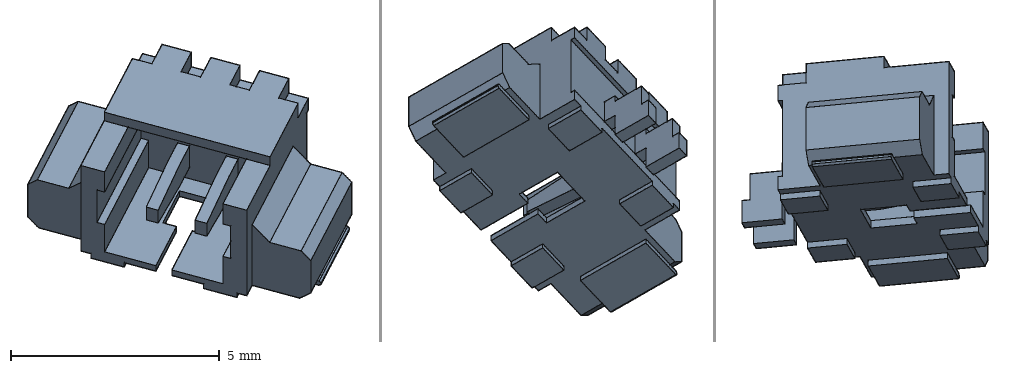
import cadquery as cq


overall_width = 7.25
overall_depth = 5.41
overall_height = 3.4
half_width = overall_width / 2

standoff = 0.15
shell_width = 4.25
shell_depth = 4.205
wall_top = 3.1
roof_front = 1.595
half_shell = shell_width / 2

cavity_width = 3.03
cavity_floor = 0.35
cavity_back = 3.0
key_groove_depth = 0.195
key_groove_bottom = 1.29
key_groove_top = 2.41

floor_slot_width = 0.405
floor_slot_end = 1.4
floor_window_width = 1.1
floor_window_end = 2.54

rear_recess_depth = 0.11
rear_recess_bottom = 0.5
rear_recess_top = 2.495
rear_notch_width = 0.5
rear_notch_depth = 0.695
rear_notch_bottom = 2.9

foot_width = 0.855
foot_center = 1.44
front_foot_length = 0.94
rear_foot_length = 0.97

wing_front = 0.37
wing_length = 2.8
wing_top = 1.8
wing_gusset = 0.45
wing_top_chamfer = 0.25
wing_bottom_chamfer = 0.28

contact_pitch = 1.25
contact_width = 0.305
contact_bottom = 0.725
contact_top = 1.47
contact_tip = 0.87
contact_taper_end = 2.35
contact_tip_setback = 0.15
contact_bend_front = 4.415
contact_step_drop = 0.2
contact_toe_length = 0.2
contact_toe_height = 0.59
contact_centers = [-contact_pitch / 2, contact_pitch / 2]

tab_width = 1.26
tab_front = 1.07
tab_length = 1.95
tab_edge_chamfer = 0.05


def block(x_range, y_range, z_range):
    """Box between the given (low, high) limits on each axis."""
    size = [high - low for low, high in (x_range, y_range, z_range)]
    corner = cq.Vector(x_range[0], y_range[0], z_range[0])
    return cq.Workplane(cq.Solid.makeBox(*size, corner))


def centered_block(width, y_range, z_range, center=0.0):
    """Box of the given width centred on X = center."""
    return block((center - width / 2, center + width / 2), y_range, z_range)


def front_profile(points, y_start, length):
    """Extrude an outline of (X, Z) points rearwards from y_start."""
    plane = cq.Workplane("XZ", origin=(0, y_start, 0))
    return plane.polyline(points).close().extrude(-length)


def mirrored(shape):
    """The same shape on the opposite X side."""
    return shape.mirror("YZ")


def make_shell():
    """Outer block, stepped down in front of the roof."""
    shell = centered_block(shell_width, (0, shell_depth), (standoff, overall_height))
    return shell.cut(centered_block(shell_width, (0, roof_front), (wall_top, overall_height)))


def make_cavity():
    """Mating cavity with a key groove along each side wall."""
    cavity = centered_block(cavity_width, (0, cavity_back), (cavity_floor, wall_top))
    grooves = centered_block(
        cavity_width + 2 * key_groove_depth,
        (0, cavity_back),
        (key_groove_bottom, key_groove_top),
    )
    return cavity.union(grooves)


def make_floor_opening():
    """Slot from the mating face that widens into a window below the contacts."""
    z_range = (standoff, cavity_floor)
    slot = centered_block(floor_slot_width, (0, floor_slot_end), z_range)
    window = centered_block(floor_window_width, (floor_slot_end, floor_window_end), z_range)
    return slot.union(window)


def make_rear_recess():
    """Shallow recess across the full rear face."""
    return centered_block(
        shell_width,
        (shell_depth - rear_recess_depth, shell_depth),
        (rear_recess_bottom, rear_recess_top),
    )


def cut_rear_notches(shell):
    """Notch the rear roof edge above each contact and at both corners."""
    corner_center = half_shell - rear_notch_width / 2
    for center in [-corner_center, *contact_centers, corner_center]:
        shell = shell.cut(centered_block(
            rear_notch_width,
            (shell_depth - rear_notch_depth, shell_depth),
            (rear_notch_bottom, overall_height),
            center,
        ))
    return shell


def make_wing():
    """Chamfered wing on the +X side, with a sloped gusset against the shell."""
    outline = [
        (half_shell, standoff),
        (half_width - wing_bottom_chamfer, standoff),
        (half_width, standoff + wing_bottom_chamfer),
        (half_width, wing_top - wing_top_chamfer),
        (half_width - wing_top_chamfer, wing_top),
        (half_shell + wing_gusset, wing_top),
        (half_shell, wing_top + wing_gusset),
    ]
    return front_profile(outline, wing_front, wing_length)


def add_feet(shell):
    """Four feet, flush with the front and rear faces."""
    for y_range in [(0, front_foot_length), (shell_depth - rear_foot_length, shell_depth)]:
        for center in [-foot_center, foot_center]:
            shell = shell.union(centered_block(foot_width, y_range, (0, standoff), center))
    return shell


def make_housing():
    """Housing with wings, feet and a through hole for each contact."""
    housing = make_shell()
    housing = housing.cut(make_cavity())
    housing = housing.cut(make_floor_opening())
    housing = housing.cut(make_rear_recess())
    housing = cut_rear_notches(housing)
    wing = make_wing()
    housing = housing.union(wing).union(mirrored(wing))
    housing = add_feet(housing)
    for center in contact_centers:
        housing = housing.cut(centered_block(
            contact_width,
            (cavity_back, shell_depth),
            (contact_bottom, contact_top),
            center,
        ))
    return housing


def make_contact(center):
    """Flat contact with a tapered tip in the cavity and a solder tail at the rear."""
    shoulder = contact_top - contact_step_drop
    toe_front = overall_depth - contact_toe_length
    outline = [
        (contact_taper_end, contact_bottom),
        (contact_tip, contact_bottom + contact_tip_setback),
        (contact_tip, contact_top - contact_tip_setback),
        (contact_taper_end, contact_top),
        (contact_bend_front, contact_top),
        (contact_bend_front, shoulder),
        (toe_front, shoulder),
        (toe_front, contact_toe_height),
        (overall_depth, contact_toe_height),
        (overall_depth, 0),
        (contact_bend_front, 0),
        (contact_bend_front, contact_bottom),
    ]
    plane = cq.Workplane("YZ", origin=(center - contact_width / 2, 0, 0))
    return plane.polyline(outline).close().extrude(contact_width)


def make_solder_tab():
    """Flat tab below the +X wing, chamfered along its outer edge."""
    tab = block(
        (half_width - tab_width, half_width),
        (tab_front, tab_front + tab_length),
        (0, standoff),
    )
    return tab.faces(">X").edges("|Y").chamfer(tab_edge_chamfer)


housing = make_housing()
contacts = [make_contact(center) for center in contact_centers]
right_tab = make_solder_tab()
solder_tabs = [right_tab, mirrored(right_tab)]

result = cq.Compound.makeCompound([
    housing.val(),
    *[contact.val() for contact in contacts],
    *[tab.val() for tab in solder_tabs],
])